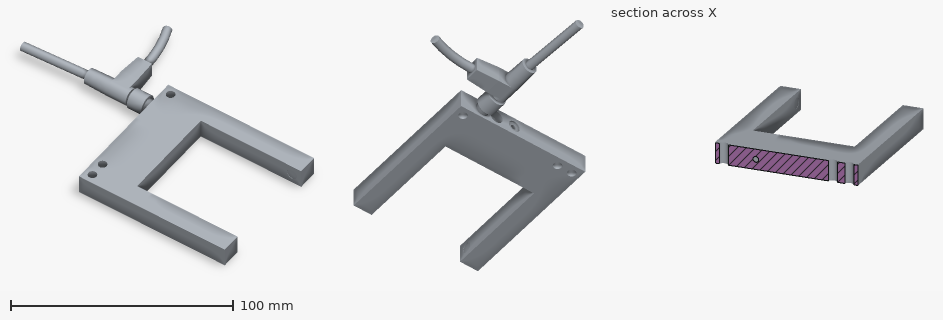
import cadquery as cq


overall_length = 150.2

housing_length = 80.0
housing_width = 70.0
housing_height = 10.0
arm_width = 10.0
base_length = 25.0
axis_inset = 12.0
housing_top_y = axis_inset
housing_bottom_y = housing_top_y - housing_width

mount_hole_diameter = 4.4
mount_hole_inset = 4.4
mount_hole_pitch = 8.0

recess_floor_hole_diameter = 2.5
recess_floor_hole_depth = 1.5
adjuster_inset = 20.0
adjuster_diameter = 6.8
adjuster_depth = 3.8
indicator_inset = 30.0
indicator_diameter = 6.0
indicator_depth = 0.8

window_diameter = 5.3
window_depth = 0.2
window_inset = 5.0

nut_diameter = 10.0
nut_front = 3.0
nut_back = 10.8
socket_neck_diameter = 7.0
plug_neck_diameter = 6.0

plug_diameter = 8.7
plug_front = 12.0
boot_front = 22.5
boot_back = 35.1
boot_end_diameter = 8.0
cable_diameter = 4.5
straight_cable_end = overall_length - housing_length
straight_cable_drop = 1.8

elbow_center = 18.0
elbow_width = 9.0
elbow_shoulder_y = 7.8
elbow_end_y = 19.5
elbow_end_size = 7.7
angled_cable_bend_radius = 63.7
angled_cable_angle = 22.8


def blind_hole(x, y, diameter, depth, direction):
    """Cylinder that starts at (x, y, 0) and runs along the given direction."""
    return cq.Workplane(
        cq.Solid.makeCylinder(diameter / 2, depth, cq.Vector(x, y, 0), cq.Vector(*direction))
    )


def make_housing():
    slot_length = housing_length - base_length
    slot_bottom_y = housing_bottom_y + arm_width
    slot_top_y = housing_top_y - arm_width
    body = cq.Workplane("XY").box(
        housing_length, housing_width, housing_height, centered=(False, False, True)
    ).translate((0, housing_bottom_y, 0))
    slot = cq.Workplane("XY").box(
        slot_length, slot_top_y - slot_bottom_y, housing_height, centered=(False, False, True)
    ).translate((base_length, slot_bottom_y, 0))
    body = body.cut(slot)

    lowest_hole_y = housing_bottom_y + mount_hole_inset
    hole_centers = [
        (mount_hole_inset, housing_top_y - mount_hole_inset),
        (mount_hole_inset, lowest_hole_y + mount_hole_pitch),
        (mount_hole_inset, lowest_hole_y),
    ]
    mount_holes = (
        cq.Workplane("XY")
        .pushPoints(hole_centers)
        .circle(mount_hole_diameter / 2)
        .extrude(housing_height / 2, both=True)
    )
    body = body.cut(mount_holes)

    for inset, diameter, depth in (
        (adjuster_inset, adjuster_diameter, adjuster_depth),
        (indicator_inset, indicator_diameter, indicator_depth),
    ):
        y = housing_top_y - inset
        body = body.cut(blind_hole(0, y, diameter, depth, (1, 0, 0)))
        body = body.cut(
            blind_hole(depth, y, recess_floor_hole_diameter, recess_floor_hole_depth, (1, 0, 0))
        )

    window_x = housing_length - window_inset
    body = body.cut(blind_hole(window_x, slot_top_y, window_diameter, window_depth, (0, 1, 0)))
    body = body.cut(blind_hole(window_x, slot_bottom_y, window_diameter, window_depth, (0, -1, 0)))
    return body


def make_coupling():
    socket_neck = cq.Workplane("YZ").circle(socket_neck_diameter / 2).extrude(-nut_front)
    nut = (
        cq.Workplane("YZ", origin=(-nut_front, 0, 0))
        .circle(nut_diameter / 2)
        .extrude(nut_front - nut_back)
    )
    plug_neck = (
        cq.Workplane("YZ", origin=(-nut_back, 0, 0))
        .circle(plug_neck_diameter / 2)
        .extrude(nut_back - plug_front)
    )
    return socket_neck.union(nut).union(plug_neck)


def make_straight_plug():
    barrel = (
        cq.Workplane("XY")
        .moveTo(-plug_front, 0)
        .lineTo(-plug_front, plug_diameter / 2)
        .lineTo(-boot_front, plug_diameter / 2)
        .lineTo(-boot_back, boot_end_diameter / 2)
        .lineTo(-boot_back, 0)
        .close()
        .revolve(360, (0, 0, 0), (1, 0, 0))
    )

    cable_length = straight_cable_end - boot_back
    cable = (
        cq.Workplane("YZ", origin=(-boot_back, 0, 0))
        .circle(cable_diameter / 2)
        .workplane(offset=-cable_length)
        .center(-straight_cable_drop, 0)
        .circle(cable_diameter / 2)
        .loft(ruled=True)
    )
    return barrel.union(cable)


def make_angled_plug():
    barrel_radius = plug_diameter / 2
    block = (
        cq.Workplane("YZ", origin=(-elbow_center, 0, 0))
        .moveTo(0, -barrel_radius)
        .threePointArc((barrel_radius, 0), (0, barrel_radius))
        .lineTo(elbow_shoulder_y, barrel_radius)
        .lineTo(elbow_shoulder_y, -barrel_radius)
        .close()
        .extrude(elbow_width / 2, both=True)
    )

    taper_length = elbow_end_y - elbow_shoulder_y
    sleeve = (
        cq.Workplane("XZ", origin=(-elbow_center, elbow_shoulder_y, 0))
        .rect(elbow_width, plug_diameter)
        .workplane(offset=-taper_length)
        .rect(elbow_end_size, elbow_end_size)
        .loft(ruled=True)
    )

    bend_center = (-angled_cable_bend_radius, 0, 0)
    bend_axis_end = (-angled_cable_bend_radius, 1, 0)
    cable = (
        cq.Workplane("XZ", origin=(-elbow_center, elbow_end_y, 0))
        .circle(cable_diameter / 2)
        .revolve(angled_cable_angle, bend_center, bend_axis_end)
    )
    return block.union(sleeve).union(cable)


housing = make_housing()
coupling = make_coupling()
straight_plug = make_straight_plug()
angled_plug = make_angled_plug()

result = cq.Compound.makeCompound(
    [housing.val(), coupling.val(), straight_plug.val(), angled_plug.val()]
)